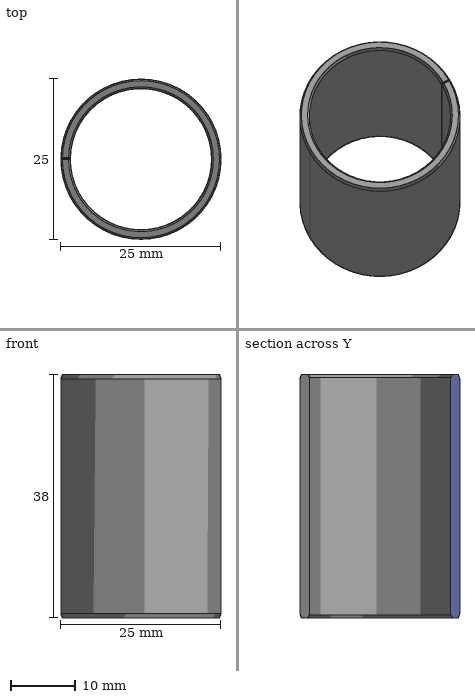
import cadquery as cq
import math

outer_diameter = 25.0
wall_thickness = 1.5
length = 38.0

outer_chamfer_length = 0.7
outer_chamfer_angle = 20.0
inner_chamfer_length = 0.5
inner_chamfer_angle = 30.0

seam_width = 0.2

outer_radius = outer_diameter / 2
inner_radius = outer_radius - wall_thickness
outer_rim_radius = outer_radius - outer_chamfer_length * math.tan(math.radians(outer_chamfer_angle))
inner_rim_radius = inner_radius + inner_chamfer_length * math.tan(math.radians(inner_chamfer_angle))


def make_sleeve():
    """Revolve the wall section, chamfered inside and outside at both ends, around Z."""
    wall_section = [
        (inner_radius, inner_chamfer_length),
        (inner_rim_radius, 0),
        (outer_rim_radius, 0),
        (outer_radius, outer_chamfer_length),
        (outer_radius, length - outer_chamfer_length),
        (outer_rim_radius, length),
        (inner_rim_radius, length),
        (inner_radius, length - inner_chamfer_length),
    ]
    sketch = cq.Workplane("XZ").polyline(wall_section).close()
    return sketch.revolve(360, (0, 0), (0, 1))


def make_seam_cutter():
    """Full-length slab from the axis out past the -X side, on the +Y side of the plane Y = 0."""
    slab = cq.Workplane("XY").box(outer_diameter, seam_width, length, centered=False)
    return slab.translate((-outer_diameter, 0, 0))


result = make_sleeve().cut(make_seam_cutter())